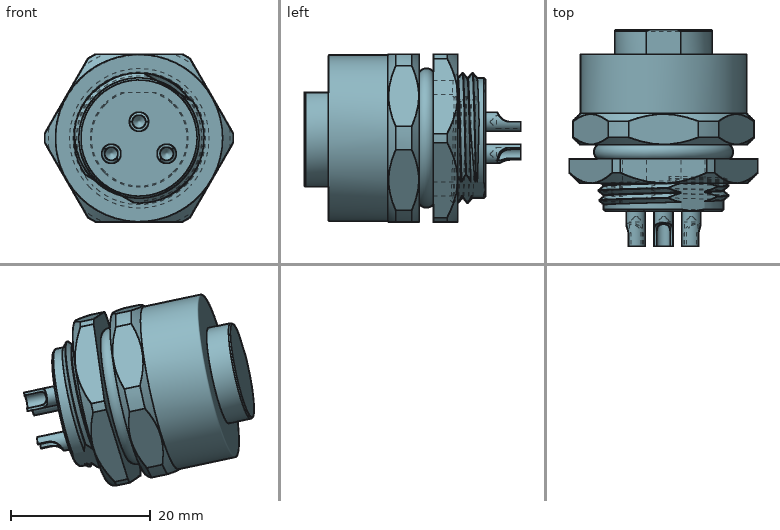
import cadquery as cq
import math


across_flats = 24.0
hex_length = 4.5
hex_corner_radius = 13.0
barrel_radius = 11.9
barrel_length = 8.5
barrel_end = hex_length + barrel_length
barrel_edge_fillet = 0.2
plug_radius = 7.0
plug_length = 3.47
plug_flat_height = 6.54
plug_chamfer_radial = 0.16
plug_chamfer_axial = 0.25

ring_gap = 2.0
ring_outer_radius = 9.97
ring_section_radius = 1.25

nut_length = 3.5
nut_face = -ring_gap - nut_length
nut_corner_radius = 13.5
nut_face_radius = 11.95
nut_groove_angle = 95.0

thread_projection = 3.98
thread_end = nut_face - thread_projection
thread_pitch = 1.411
thread_root_radius = 8.6
thread_crest_radius = 9.3
thread_base_width = 1.3
thread_crest_width = 0.08
thread_sink = 0.04
thread_turns = 2.75
thread_start_offset = 1.61
thread_start_y = thread_end + thread_start_offset
thread_start_angle = 165.0
runout_angle = 80.0
runout_sections = 6
runout_final_scale = 0.03
thread_end_chamfer = 0.3
flats_width = 16.75
flats_direction = 60.0

pins = [(0.0, 2.33, 90.0), (-3.95, -2.25, 230.0), (3.95, -2.25, 310.0)]
pin_length = 5.0
pin_tip = thread_end - pin_length
pin_radius = 1.375
cup_radius = 0.95
cup_depth = 3.5
cup_point_angle = 90.0
cup_straight = 1.45
cup_runout_radius = 2.0


def turned(points):
    """Solid of revolution about Y from (radius, y) corners."""
    return cq.Workplane("XY").polyline(points).close().revolve(360, (0, 0, 0), (0, 1, 0))


def disc(radius, y_low, y_high):
    return turned([(0, y_low), (radius, y_low), (radius, y_high), (0, y_high)])


def hexagon(y_low, y_high, corner_radius, low_chamfer, high_chamfer):
    """Hexagon with its corners turned down and 45 degree chamfers turned on its ends."""
    prism = (
        cq.Workplane("XZ", origin=(0, y_high, 0))
        .polygon(6, across_flats / math.cos(math.pi / 6))
        .extrude(y_high - y_low)
    )
    envelope = [(0, y_low), (corner_radius - low_chamfer, y_low), (corner_radius, y_low + low_chamfer)]
    if high_chamfer:
        envelope += [(corner_radius, y_high - high_chamfer), (corner_radius - high_chamfer, y_high)]
    else:
        envelope += [(corner_radius, y_high)]
    envelope += [(0, y_high)]
    return prism.intersect(turned(envelope))


def make_body():
    chamfer = hex_corner_radius - barrel_radius
    hexagonal = hexagon(0, hex_length, hex_corner_radius, chamfer, chamfer)
    barrel = disc(barrel_radius, hex_length, barrel_end).faces(">Y").edges().fillet(barrel_edge_fillet)
    plug_end = barrel_end + plug_length
    plug = turned([
        (0, 0),
        (plug_radius, 0),
        (plug_radius, plug_end - plug_chamfer_axial),
        (plug_radius - plug_chamfer_radial, plug_end),
        (0, plug_end),
    ])
    below_flat = (
        cq.Workplane("XY", origin=(0, plug_end / 2, plug_flat_height))
        .rect(2 * plug_radius, plug_end)
        .extrude(-2 * plug_radius)
    )
    return hexagonal.union(barrel).union(plug.intersect(below_flat))


def make_ring():
    """Ring of circular section, pressed flat where it meets the hexagon and the nut."""
    center = ring_outer_radius - ring_section_radius
    middle = -ring_gap / 2
    half_flat = math.sqrt(ring_section_radius**2 - middle**2)
    section = (
        cq.Workplane("XY")
        .moveTo(center + half_flat, -ring_gap)
        .threePointArc((ring_outer_radius, middle), (center + half_flat, 0))
        .lineTo(center - half_flat, 0)
        .threePointArc((center - ring_section_radius, middle), (center - half_flat, -ring_gap))
        .close()
    )
    return section.revolve(360, (0, 0, 0), (0, 1, 0))


def ridge_corners(scale):
    """Thread ridge section as (radius, axial offset) corners; its flanks run on into the core."""
    height = scale * (thread_crest_radius - thread_root_radius)
    half_base = scale * thread_base_width / 2
    half_crest = scale * thread_crest_width / 2
    sunk_half_base = half_base + thread_sink * (half_base - half_crest) / height
    crest = thread_root_radius + height
    inner = thread_root_radius - thread_sink
    return [(inner, -sunk_half_base), (crest, -half_crest), (crest, half_crest), (inner, sunk_half_base)]


def ridge_wire(scale, angle):
    """Ridge section placed on the helix, which climbs along local Z from angle 0."""
    turn = math.radians(angle)
    height = thread_pitch * angle / 360
    points = [
        cq.Vector(radius * math.cos(turn), radius * math.sin(turn), height + offset)
        for radius, offset in ridge_corners(scale)
    ]
    return cq.Wire.makePolygon(points, close=True)


def place_on_part(local, start_angle, start_y):
    """Moves a thread shape from the local Z axis to the Y axis, starting at the given angle and Y."""
    turned_start = local.rotate((0, 0, 0), (0, 0, 1), -start_angle)
    return turned_start.rotate((0, 0, 0), (1, 0, 0), -90).translate((0, start_y, 0))


def make_ridge(turns):
    path = cq.Wire.makeHelix(thread_pitch, turns * thread_pitch, thread_root_radius)
    return cq.Workplane(ridge_wire(1, 0)).toPending().sweep(cq.Workplane(path), isFrenet=True)


def make_runout():
    """Last stretch of the ridge, fading into the root cylinder."""
    sections = []
    for i in range(runout_sections):
        fraction = i / (runout_sections - 1)
        scale = 1 - fraction * (1 - runout_final_scale)
        sections.append(ridge_wire(scale, -fraction * runout_angle))
    return cq.Workplane(cq.Solid.makeLoft(sections))


def make_flats_slab():
    """Slab that leaves the two flats on the threaded rod and clears its crests along them."""
    slab_depth = 3 * thread_crest_radius
    return (
        cq.Workplane("XZ")
        .transformed(rotate=(0, 0, flats_direction))
        .rect(flats_width, slab_depth)
        .extrude(-thread_end)
    )


def make_threaded_rod():
    rod = turned([
        (0, thread_end),
        (thread_root_radius - thread_end_chamfer, thread_end),
        (thread_root_radius, thread_end + thread_end_chamfer),
        (thread_root_radius, 0),
        (0, 0),
    ])
    for local in (make_ridge(thread_turns), make_runout()):
        rod = rod.union(place_on_part(local, thread_start_angle, thread_start_y))
    return rod.intersect(make_flats_slab())


def make_nut():
    """Nut whose bore follows the thread root, with one turn of its thread groove opening at the face."""
    chamfer = nut_corner_radius - nut_face_radius
    nut = hexagon(nut_face, -ring_gap, nut_corner_radius, chamfer, 0)
    groove = place_on_part(make_ridge(1), nut_groove_angle + 180, nut_face - thread_pitch / 2)
    bore = disc(thread_root_radius, nut_face, -ring_gap)
    return nut.cut(bore).cut(groove)


def make_pin(x, z, opening):
    """Pin with a drilled cup, half open at the tip; built at the axis, opening towards +Z."""
    pin = disc(pin_radius, pin_tip, thread_end)
    point_length = cup_radius / math.tan(math.radians(cup_point_angle / 2))
    cup = turned([
        (0, pin_tip),
        (cup_radius, pin_tip),
        (cup_radius, pin_tip + cup_depth),
        (0, pin_tip + cup_depth + point_length),
    ])
    straight_end = pin_tip + cup_straight
    diagonal = cup_runout_radius * math.sin(math.pi / 4)
    window = (
        cq.Workplane("YZ")
        .moveTo(pin_tip, 0)
        .lineTo(straight_end, 0)
        .threePointArc(
            (straight_end + diagonal, cup_runout_radius - diagonal),
            (straight_end + cup_runout_radius, cup_runout_radius),
        )
        .lineTo(pin_tip, cup_runout_radius)
        .close()
        .extrude(pin_radius, both=True)
    )
    pin = pin.cut(cup).cut(window)
    return pin.rotate((0, 0, 0), (0, 1, 0), 90 - opening).translate((x, 0, z))


result = make_body().union(make_threaded_rod()).union(make_nut()).union(make_ring())
for pin_x, pin_z, pin_opening in pins:
    result = result.union(make_pin(pin_x, pin_z, pin_opening))